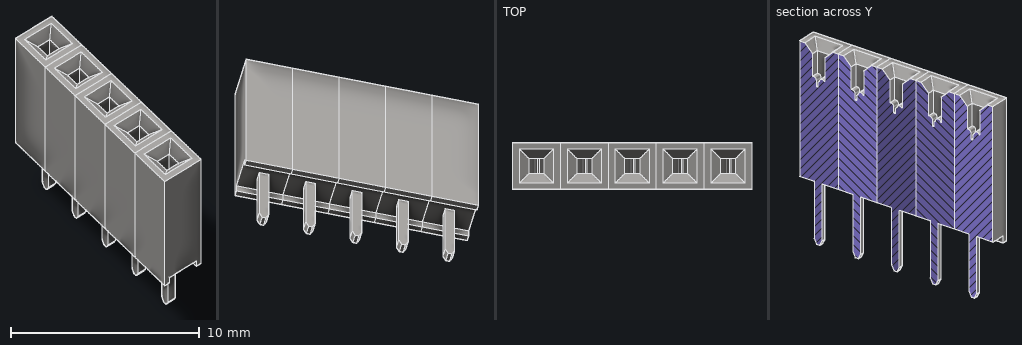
import cadquery as cq
import math

socket_count = 5
pitch = 2.54
depth = 2.48
height = 8.57

foot_width = 0.33
channel_height = 0.43

mouth_width = 1.8
throat_width = 0.8
funnel_depth = (mouth_width - throat_width) / 2
throat_depth = 1.9

leaf_radius = 0.18
ramp_angle = 55.0
gap_start = 0.06
gap_end = 0.15
gap_depth = 0.38

pin_offset = 0.05
pin_width = 0.52
pin_reach = 3.3
tip_length = 0.32
tip_width = 0.2


def make_housing():
    body = cq.Workplane("XY").box(pitch, depth, height, centered=(True, True, False))
    channel = cq.Workplane("XY").box(
        pitch, depth - 2 * foot_width, channel_height, centered=(True, True, False)
    )
    return body.cut(channel)


def make_opening():
    funnel = (
        cq.Workplane("XY", origin=(0, 0, height))
        .rect(mouth_width, mouth_width)
        .workplane(offset=-funnel_depth)
        .rect(throat_width, throat_width)
        .loft(ruled=True)
    )
    throat = (
        cq.Workplane("XY", origin=(0, 0, height - funnel_depth))
        .rect(throat_width, throat_width)
        .extrude(-throat_depth)
    )
    return funnel.union(throat)


def make_contact():
    left = -throat_width / 2
    right = throat_width / 2
    floor = height - funnel_depth - throat_depth
    leaf_base = floor + gap_depth
    crest = leaf_base + leaf_radius
    ramp_tangent = math.radians(ramp_angle)
    ramp_x = left + leaf_radius * (1 + math.sin(ramp_tangent))
    ramp_z = leaf_base + leaf_radius * math.cos(ramp_tangent)
    ramp_drop = (gap_start - ramp_x) * math.tan(ramp_tangent)
    right_middle = gap_end + leaf_radius
    right_end_z = leaf_base + math.sqrt(leaf_radius**2 - (right - right_middle) ** 2)
    return (
        cq.Workplane("XZ", origin=(0, throat_width / 2, 0))
        .moveTo(left, floor)
        .lineTo(left, leaf_base)
        .threePointArc((left + leaf_radius, crest), (ramp_x, ramp_z))
        .lineTo(gap_start, ramp_z - ramp_drop)
        .lineTo(gap_start, floor)
        .lineTo(gap_end, floor)
        .lineTo(gap_end, leaf_base)
        .threePointArc((right_middle, crest), (right, right_end_z))
        .lineTo(right, floor)
        .close()
        .extrude(throat_width)
    )


def make_pin():
    tip = -pin_reach
    shoulder = tip + tip_length
    outline = [
        (-pin_width / 2, channel_height),
        (-pin_width / 2, shoulder),
        (-tip_width / 2, tip),
        (tip_width / 2, tip),
        (pin_width / 2, shoulder),
        (pin_width / 2, channel_height),
    ]
    plane = cq.Workplane("XZ", origin=(pin_offset, pin_width / 2, 0))
    return plane.polyline(outline).close().extrude(pin_width)


def make_socket():
    return make_housing().cut(make_opening()).union(make_contact()).union(make_pin())


socket = make_socket()
sockets = []
for index in range(socket_count):
    x = (index - (socket_count - 1) / 2) * pitch
    sockets.append(socket.translate((x, 0, 0)).val())

result = cq.Compound.makeCompound(sockets)